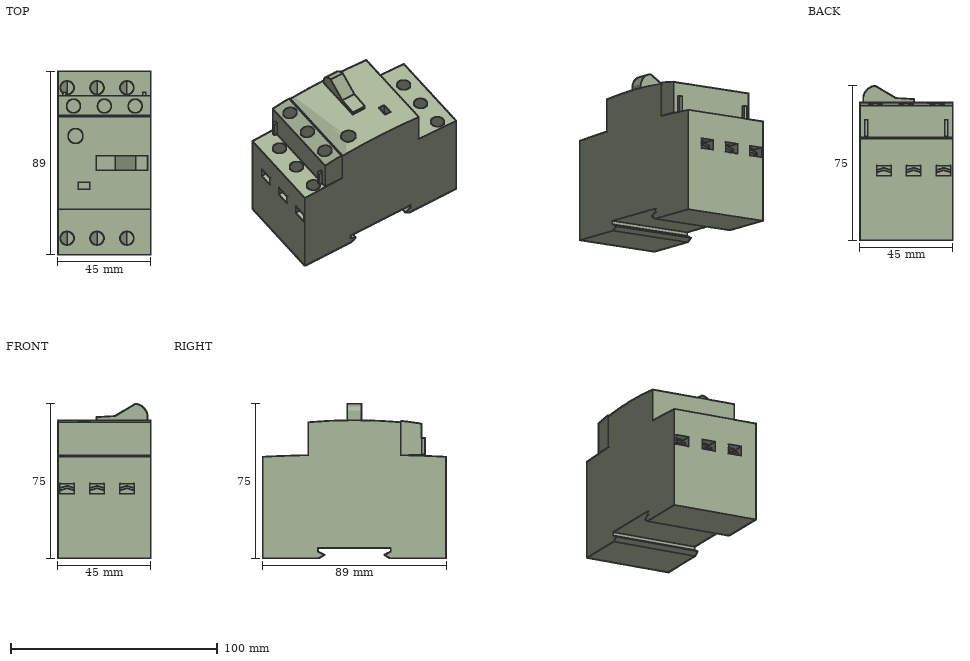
import cadquery as cq
import math

WIDTH = 45.0
LENGTH = 89.0
HEIGHT = 75.0
LEFT = -WIDTH / 2
RIGHT = WIDTH / 2
FRONT = -LENGTH / 2
BACK = LENGTH / 2

RAISED_LENGTH = 44.9
LEDGE_END_Z = 49.3
LEDGE_CROWN_RISE = 1.1
LEDGE_CROWN_Z = LEDGE_END_Z + LEDGE_CROWN_RISE
LEDGE_RADIUS = (BACK**2 + LEDGE_CROWN_RISE**2) / (2 * LEDGE_CROWN_RISE)
DOME_EDGE_Z = 66.0
DOME_Z = 67.0

RAIL_WIDTH = 35.15
RAIL_DEPTH = 5.0
RAIL_LIP_TOP_Z = 3.3
RAIL_TIP_Z = 1.7
RAIL_TIP_GAP = 28.9
RAIL_MOUTH = 34.3

TERMINAL_COUNT = 3
TERMINAL_PITCH = 14.5
FIRST_TERMINAL_X = LEFT + 4.45
SCREW_HOLE_DIAMETER = 6.6
SCREW_HOLE_INSET = 8.0
WINDOW_WIDTH = 7.0
WINDOW_BOTTOM_Z = 31.4
WINDOW_TOP_Z = 36.2
WINDOW_DEPTH = 12.5
CLAMP_SIDE_Z = 32.9
CLAMP_RISE = 1.1
CLAMP_THICKNESS = 1.2
CLAMP_SETBACK = 3.6

BUTTON_HOLE_DIAMETER = 7.2
BUTTON_HOLE_DEPTH = 8.9
BUTTON_HOLE_X = LEFT + 8.5
BUTTON_HOLE_Y = BACK - 31.4
POCKET_LENGTH = 5.4
POCKET_WIDTH = 3.2
POCKET_DEPTH = 5.3
POCKET_X = LEFT + 12.6
POCKET_Y = BACK - 55.5

AUX_LENGTH = 10.15
AUX_FRONT_Y = RAISED_LENGTH / 2
AUX_BACK_Y = AUX_FRONT_Y + AUX_LENGTH
AUX_BOTTOM_Z = LEDGE_CROWN_Z - LEDGE_RADIUS + math.sqrt(LEDGE_RADIUS**2 - AUX_FRONT_Y**2)
AUX_FRONT_Z = 66.3
AUX_FRONT_BEVEL_WIDTH = 0.6
AUX_FRONT_BEVEL_DROP = 0.4
AUX_BACK_Z = 65.2
AUX_BACK_BEVEL_WIDTH = 0.5
AUX_BACK_BEVEL_DROP = 0.2
AUX_CROWN_RADIUS = 222.5
AUX_HOLE_DIAMETER = 6.7
AUX_HOLE_DEPTH = 8.9
AUX_HOLE_PITCH = 14.95
AUX_HOLE_Y = BACK - 16.9
TAB_WIDTH = 1.4
TAB_REACH = 1.7
TAB_BOTTOM_Z = 50.4
TAB_TOP_Z = 58.4
TAB_SIDE_INSET = 2.4
TAB_ROUND = 0.3

TOGGLE_WIDTH = 7.1
TOGGLE_LEFT_X = LEFT + 18.7
TOGGLE_RAMP_X = LEFT + 27.7
TOGGLE_CREST_X = LEFT + 37.65
TOGGLE_RIGHT_X = LEFT + 43.5
TOGGLE_LEFT_Z = 68.5
TOGGLE_RAMP_Z = 69.1
TOGGLE_RIGHT_Z = 69.3
TOGGLE_ARC_MID = (LEFT + 41.3, 73.3)


def box(x0, x1, y0, y1, z0, z1):
    """A block between two opposite corners."""
    return cq.Workplane("XY", origin=(x0, y0, z0)).box(x1 - x0, y1 - y0, z1 - z0, centered=False)


def cylinder(x, y, diameter, z0, z1):
    """An upright cylinder."""
    return cq.Workplane("XY", origin=(x, y, z0)).circle(diameter / 2).extrude(z1 - z0)


def make_base():
    """Full-length base with crowned terminal ledges and the DIN rail notch."""
    notch_right_half = [
        (RAIL_WIDTH / 2, RAIL_DEPTH),
        (RAIL_WIDTH / 2, RAIL_LIP_TOP_Z),
        (RAIL_TIP_GAP / 2, RAIL_TIP_Z),
        (RAIL_MOUTH / 2, 0),
    ]
    notch_left_half = [(-y, z) for y, z in reversed(notch_right_half)]
    return (
        cq.Workplane("YZ", origin=(LEFT, 0, 0))
        .polyline([(FRONT, 0), *notch_left_half, *notch_right_half, (BACK, 0), (BACK, LEDGE_END_Z)])
        .threePointArc((0, LEDGE_CROWN_Z), (FRONT, LEDGE_END_Z))
        .close()
        .extrude(WIDTH)
    )


def make_dome():
    """The raised middle part with its shallow domed top."""
    return (
        cq.Workplane("YZ", origin=(LEFT, 0, 0))
        .moveTo(-RAISED_LENGTH / 2, RAIL_DEPTH)
        .lineTo(RAISED_LENGTH / 2, RAIL_DEPTH)
        .lineTo(RAISED_LENGTH / 2, DOME_EDGE_Z)
        .threePointArc((0, DOME_Z), (-RAISED_LENGTH / 2, DOME_EDGE_Z))
        .close()
        .extrude(WIDTH)
    )


def clamp_plate(x):
    """The bent plate left standing across a terminal cavity, with its ridge along Y."""
    half = WINDOW_WIDTH / 2
    top = CLAMP_SIDE_Z + CLAMP_THICKNESS
    return (
        cq.Workplane("XZ", origin=(x, FRONT + CLAMP_SETBACK, 0))
        .polyline([
            (-half, CLAMP_SIDE_Z),
            (0, CLAMP_SIDE_Z + CLAMP_RISE),
            (half, CLAMP_SIDE_Z),
            (half, top),
            (0, top + CLAMP_RISE),
            (-half, top),
        ])
        .close()
        .extrude(CLAMP_SETBACK - WINDOW_DEPTH)
    )


def terminal_opening(x):
    """A front wire window and the screw hole down to it, less the clamp plate between them."""
    half = WINDOW_WIDTH / 2
    window = box(x - half, x + half, FRONT, FRONT + WINDOW_DEPTH, WINDOW_BOTTOM_Z, WINDOW_TOP_Z)
    hole = cylinder(x, FRONT + SCREW_HOLE_INSET, SCREW_HOLE_DIAMETER, WINDOW_BOTTOM_Z, LEDGE_CROWN_Z)
    return window.union(hole).cut(clamp_plate(x))


def button_hole():
    """The round blind hole in the dome."""
    return cylinder(BUTTON_HOLE_X, BUTTON_HOLE_Y, BUTTON_HOLE_DIAMETER, DOME_Z - BUTTON_HOLE_DEPTH, DOME_Z)


def dome_pocket():
    """The small rectangular pocket in the dome."""
    half_x = POCKET_LENGTH / 2
    half_y = POCKET_WIDTH / 2
    return box(
        POCKET_X - half_x, POCKET_X + half_x,
        POCKET_Y - half_y, POCKET_Y + half_y,
        DOME_Z - POCKET_DEPTH, DOME_Z,
    )


def make_housing():
    """The housing: base and dome in one solid, with the same terminals at front and back."""
    housing = make_base().union(make_dome())
    for i in range(TERMINAL_COUNT):
        opening = terminal_opening(FIRST_TERMINAL_X + i * TERMINAL_PITCH)
        housing = housing.cut(opening).cut(opening.mirror("XZ"))
    return housing.cut(button_hole()).cut(dome_pocket())


def make_auxiliary_block():
    """The auxiliary block: a crowned box with screw holes and two tabs on its back."""
    crown_front = (AUX_FRONT_Y + AUX_FRONT_BEVEL_WIDTH, AUX_FRONT_Z + AUX_FRONT_BEVEL_DROP)
    block = (
        cq.Workplane("YZ", origin=(LEFT, 0, 0))
        .moveTo(AUX_FRONT_Y, AUX_BOTTOM_Z)
        .lineTo(AUX_BACK_Y, AUX_BOTTOM_Z)
        .lineTo(AUX_BACK_Y, AUX_BACK_Z)
        .lineTo(AUX_BACK_Y - AUX_BACK_BEVEL_WIDTH, AUX_BACK_Z + AUX_BACK_BEVEL_DROP)
        .radiusArc(crown_front, -AUX_CROWN_RADIUS)
        .lineTo(AUX_FRONT_Y, AUX_FRONT_Z)
        .close()
        .extrude(WIDTH)
    )
    for column in (-1, 0, 1):
        hole_x = column * AUX_HOLE_PITCH
        block = block.cut(
            cylinder(hole_x, AUX_HOLE_Y, AUX_HOLE_DIAMETER, AUX_BACK_Z - AUX_HOLE_DEPTH, HEIGHT)
        )
    for tab_left in (LEFT + TAB_SIDE_INSET, RIGHT - TAB_SIDE_INSET - TAB_WIDTH):
        tab = box(
            tab_left, tab_left + TAB_WIDTH,
            AUX_BACK_Y, AUX_BACK_Y + TAB_REACH,
            TAB_BOTTOM_Z, TAB_TOP_Z,
        )
        block = block.union(tab.faces(">Y").edges("|X").fillet(TAB_ROUND))
    return block


def make_toggle():
    """The lever: a flat-bottomed profile resting on the crest of the dome."""
    return (
        cq.Workplane("XZ", origin=(0, TOGGLE_WIDTH / 2, 0))
        .moveTo(TOGGLE_LEFT_X, DOME_Z)
        .lineTo(TOGGLE_RIGHT_X, DOME_Z)
        .lineTo(TOGGLE_RIGHT_X, TOGGLE_RIGHT_Z)
        .threePointArc(TOGGLE_ARC_MID, (TOGGLE_CREST_X, HEIGHT))
        .lineTo(TOGGLE_RAMP_X, TOGGLE_RAMP_Z)
        .lineTo(TOGGLE_LEFT_X, TOGGLE_LEFT_Z)
        .close()
        .extrude(TOGGLE_WIDTH)
    )


housing = make_housing()
auxiliary_block = make_auxiliary_block()
toggle = make_toggle()
result = cq.Compound.makeCompound([housing.val(), auxiliary_block.val(), toggle.val()])